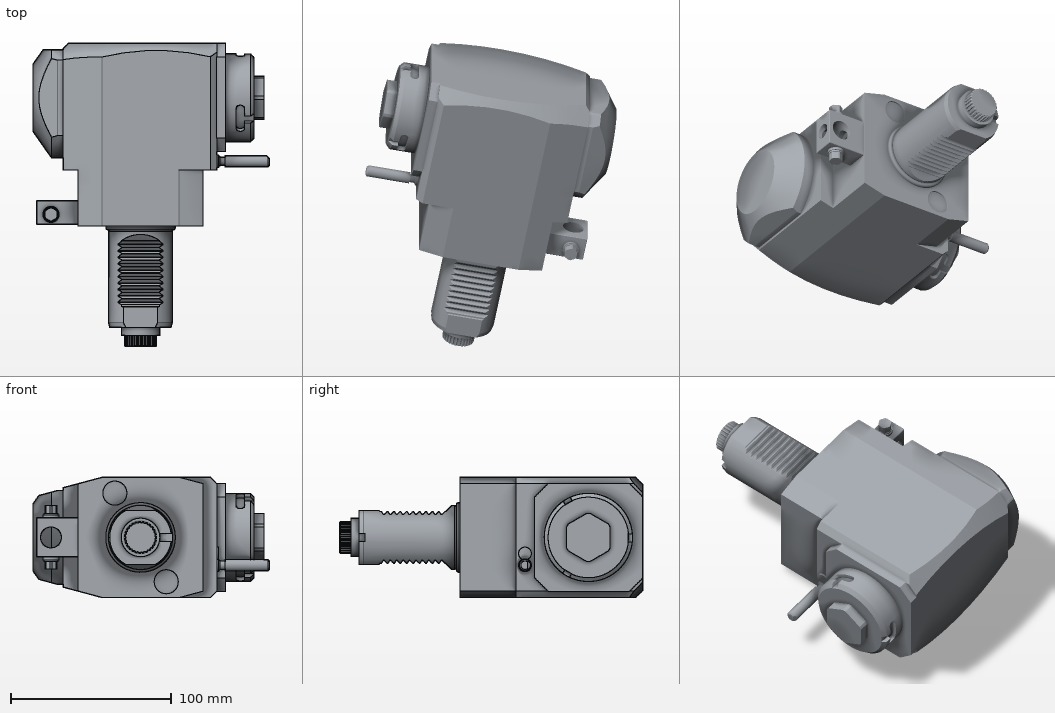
import math

import cadquery as cq


OVERLAP = 1.0
SPINDLE_Y = 80.0

BODY_HALF_HEIGHT = 37.5
BODY_LEFT = -48.3
BODY_RIGHT = 47.5
BODY_BACK = 114.0
BODY_STEP_Y = 35.0
BASE_HALF_WIDTH = 39.0
SLOPE_START = 24.0
SLOPE_ANGLE = 15.0
BODY_EDGE_CHAMFER = 4.0
BODY_CORNER_CHAMFER = 3.4
CROWN_X = 10.0
CROWN_RADIUS = 135.0
CROWN_BACK_HALF_HEIGHT = 33.0
PLUG_RADIUS = 7.5
PLUG_DEPTH = 1.0
PLUG_X = 16.0
PLUG_Z = 27.6

CAP_LEFT = -67.0
CAP_CONE_X = -55.4
CAP_SLOPE_X = -51.6
CAP_RADIUS = 37.5
CAP_FACE_RADIUS = 21.0
CAP_BACK = 110.0
CAP_HALF_HEIGHT = 29.3
CAP_CHAMFER = 6.6

PLATE_RIGHT = 53.0
PLATE_FRONT = 46.5
PLATE_CHAMFER = 8.6
NUT_RIGHT = 70.8
NUT_RADIUS = 27.5
NUT_CHAMFER = 2.4
NUT_SLOT_COUNT = 3
NUT_SLOT_FIRST_ANGLE = 29.5
NUT_SLOT_SPAN = 29.0
NUT_SLOT_X = 62.2
NUT_SLOT_WIDTH = 5.2
NUT_SLOT_DEPTH = 2.6
NUT_KEYWAY_WIDTH = 5.0
HEXAGON_RIGHT = 77.0
HEXAGON_FLATS = 27.0
HEXAGON_CORNER_RADIUS = 15.0

PIN_Y = 40.5
PIN_Z = -17.3
PIN_RIGHT = 80.33
PIN_LEFT = 52.7
PIN_RADIUS = 3.5
PIN_TIP_CHAMFER = 0.9
PIN_NECK_RADIUS = 2.6
PIN_NECK_LEFT = 49.5
PIN_FOOT_RADIUS = 4.0
PIN_FOOT_THICKNESS = 1.0
PIN_BEVEL = 1.9
DISC_Z = -10.0
DISC_RADIUS = 4.0
DISC_THICKNESS = 1.1

SHANK_RADIUS = 20.0
SHANK_LENGTH = 63.0
SHANK_END_CHAMFER_LENGTH = 3.0
SHANK_END_CHAMFER_DEPTH = 0.8
SHANK_ROOT_GROOVE_DEPTH = 0.5
SHANK_ROOT_GROOVE_TAPER = 1.0
RING_RADIUS = 21.7
RING_LENGTH = 2.3
RING_ROUND = 1.5
FLAT_HEIGHT = 16.9
TOOTH_COUNT = 10
TOOTH_PITCH = 4.0
TOOTH_ROOT_HEIGHT = 14.3
TOOTH_CREST_HEIGHT = 16.2
TOOTH_LAND = 0.4
FIRST_TOOTH_ROOT = 11.2
FLAT_START = 50.4
FLAT_STEP_RUN = 0.5
KEYWAY_WIDTH = 5.2
KEYWAY_DEPTH = 4.0
COLLAR_RADIUS = 12.0
COLLAR_END = 68.0
SPLINE_END = 75.0
SPLINE_RADIUS = 10.0
SPLINE_ROOT_RADIUS = 9.1
SPLINE_COUNT = 27
SPLINE_CHAMFER = 0.6
SPLINE_TIP_SHARE = 0.4
SPLINE_FOOT_SHARE = 0.7

BLOCK_LEFT = -64.7
BLOCK_FRONT = 1.0
BLOCK_BACK = 16.0
BLOCK_HALF_HEIGHT = 12.3
BLOCK_CHAMFER = 0.3
BORE_X = -55.8
BORE_RADIUS = 6.5
SIDE_HOLE_END = -47.5
SIDE_HOLE_RADIUS = 4.8
SIDE_DRILL_RADIUS = 1.4
SIDE_DRILL_DEPTH = 3.0
SCREW_Y = 7.4
WASHER_RADIUS = 5.0
WASHER_THICKNESS = 1.7
SCREW_SHOULDER_RADIUS = 4.4
SCREW_SHOULDER_THICKNESS = 0.9
SCREW_TOP = 19.8
SCREW_FLATS = 7.6
SCREW_CORNER_RADIUS = 4.1


def box(x0, x1, y0, y1, z0, z1):
    """Axis-aligned box between two opposite corners."""
    return cq.Workplane("XY").box(x1 - x0, y1 - y0, z1 - z0, centered=False).translate((x0, y0, z0))


def along_x(x0, x1, y, z):
    """Workplane at x0 centred on (y, z), and the length to extrude up to x1."""
    return cq.Workplane("YZ", origin=(x0, y, z)), x1 - x0


def cylinder_x(x0, x1, y, z, radius):
    plane, length = along_x(x0, x1, y, z)
    return plane.circle(radius).extrude(length)


def cylinder_y(y0, y1, x, z, radius):
    return cq.Workplane("XZ", origin=(x, y0, z)).circle(radius).extrude(y0 - y1)


def cylinder_z(z0, z1, x, y, radius):
    return cq.Workplane("XY", origin=(x, y, z0)).circle(radius).extrude(z1 - z0)


def revolve_about_x(profile, y, z):
    """Revolve (x, radius) points about the line parallel to X through (y, z)."""
    outline = cq.Workplane("XY").polyline(profile).close()
    return outline.revolve(360, (0, 0, 0), (1, 0, 0)).translate((0, y, z))


def revolve_about_y(profile):
    """Revolve (radius, y) points about the Y axis."""
    return cq.Workplane("XY").polyline(profile).close().revolve(360, (0, 0, 0), (0, 1, 0))


def extrude_y(points, y0, y1):
    """Prism between y0 and y1 from (x, z) points."""
    return cq.Workplane("XZ", origin=(0, y0, 0)).polyline(points).close().extrude(y0 - y1)


def with_mirror(points):
    """Close an upper outline with its mirror image below Z = 0."""
    return points + [(x, -z) for x, z in reversed(points)]


def both_sides(shape):
    """The shape together with its mirror image below Z = 0."""
    return shape.union(shape.mirror("XY"))


def slope_height(x):
    """Half height of the body's sloping sides at a distance x from the shank axis."""
    return BODY_HALF_HEIGHT - (abs(x) - SLOPE_START) * math.tan(math.radians(SLOPE_ANGLE))


def crown():
    """45 degree cone whose flank bevels the upper back edge of the body in a long arc."""
    axis_z = CROWN_BACK_HALF_HEIGHT - CROWN_RADIUS
    front_radius = CROWN_RADIUS + BODY_BACK
    cone = revolve_about_y([(0, 0), (front_radius, 0), (CROWN_RADIUS, BODY_BACK), (0, BODY_BACK)])
    return cone.translate((CROWN_X, 0, axis_z))


def body():
    head_outline = with_mirror([
        (BODY_LEFT, slope_height(BODY_LEFT)),
        (-SLOPE_START, BODY_HALF_HEIGHT),
        (BODY_RIGHT - BODY_EDGE_CHAMFER, BODY_HALF_HEIGHT),
        (BODY_RIGHT, BODY_HALF_HEIGHT - BODY_EDGE_CHAMFER),
    ])
    head = extrude_y(head_outline, BODY_STEP_Y, BODY_BACK)
    head = head.edges("<X and >Y").chamfer(BODY_CORNER_CHAMFER)
    head = head.intersect(crown()).intersect(crown().mirror("XY"))

    base_edge = slope_height(BASE_HALF_WIDTH)
    base_outline = with_mirror([
        (-BASE_HALF_WIDTH, base_edge),
        (-SLOPE_START, BODY_HALF_HEIGHT),
        (SLOPE_START, BODY_HALF_HEIGHT),
        (BASE_HALF_WIDTH, base_edge),
    ])
    solid = head.union(extrude_y(base_outline, 0, BODY_STEP_Y))
    for side in (-1, 1):
        solid = solid.cut(cylinder_y(0, PLUG_DEPTH, side * PLUG_X, -side * PLUG_Z, PLUG_RADIUS))
    return solid


def end_cap():
    inner_x = BODY_LEFT + OVERLAP
    cap = revolve_about_x([
        (CAP_LEFT, 0),
        (CAP_LEFT, CAP_FACE_RADIUS),
        (CAP_CONE_X, CAP_RADIUS),
        (inner_x, CAP_RADIUS),
        (inner_x, 0),
    ], SPINDLE_Y, 0)
    left_drop = (CAP_SLOPE_X - CAP_LEFT) * math.tan(math.radians(SLOPE_ANGLE))
    side_outline = with_mirror([
        (CAP_LEFT, CAP_HALF_HEIGHT - left_drop),
        (CAP_SLOPE_X, CAP_HALF_HEIGHT),
        (inner_x, CAP_HALF_HEIGHT),
    ])
    cap = cap.intersect(extrude_y(side_outline, SPINDLE_Y - CAP_RADIUS, CAP_BACK))
    bevel_outline = with_mirror([
        (SPINDLE_Y - CAP_RADIUS, CAP_HALF_HEIGHT),
        (CAP_BACK - CAP_CHAMFER, CAP_HALF_HEIGHT),
        (CAP_BACK, CAP_HALF_HEIGHT - CAP_CHAMFER),
    ])
    plane, length = along_x(CAP_LEFT, inner_x, 0, 0)
    return cap.intersect(plane.polyline(bevel_outline).close().extrude(length))


def plate():
    size = BODY_BACK - PLATE_FRONT
    solid = box(BODY_RIGHT - OVERLAP, PLATE_RIGHT, PLATE_FRONT, BODY_BACK, -size / 2, size / 2)
    return solid.edges("|X").chamfer(PLATE_CHAMFER)


def nut_slot():
    """Round-ended slot around the nut with a keyway to its face, centred on +Z."""
    floor = NUT_RADIUS - NUT_SLOT_DEPTH
    half_span = NUT_SLOT_SPAN / 2
    half_width = NUT_SLOT_WIDTH / 2
    outside = NUT_RADIUS + OVERLAP
    reach = 2 * outside
    edge_y = reach * math.tan(math.radians(half_span))
    left = NUT_SLOT_X - half_width
    right = NUT_SLOT_X + half_width
    sector, width = along_x(left, right, 0, 0)
    slot = sector.polyline([(0, 0), (-edge_y, reach), (edge_y, reach)]).close().extrude(width)
    for angle in (-half_span, half_span):
        end = cylinder_z(0, reach, NUT_SLOT_X, 0, half_width)
        slot = slot.union(end.rotate((0, 0, 0), (1, 0, 0), angle))
    half_key = NUT_KEYWAY_WIDTH / 2
    slot = slot.union(box(NUT_SLOT_X, NUT_RIGHT, -half_key, half_key, 0, reach))
    ring = cylinder_x(left, NUT_RIGHT, 0, 0, outside).cut(cylinder_x(left, NUT_RIGHT, 0, 0, floor))
    return slot.intersect(ring)


def nut():
    solid = cylinder_x(PLATE_RIGHT - OVERLAP, NUT_RIGHT, 0, 0, NUT_RADIUS)
    solid = solid.faces(">X").chamfer(NUT_CHAMFER)
    for index in range(NUT_SLOT_COUNT):
        angle = NUT_SLOT_FIRST_ANGLE + index * 360 / NUT_SLOT_COUNT
        solid = solid.cut(nut_slot().rotate((0, 0, 0), (1, 0, 0), angle))
    return solid.translate((0, SPINDLE_Y, 0))


def spindle_hexagon():
    left = NUT_RIGHT - OVERLAP
    plane, length = along_x(left, HEXAGON_RIGHT, SPINDLE_Y, 0)
    across_corners = HEXAGON_FLATS / math.cos(math.radians(30))
    prism = plane.transformed(rotate=(0, 0, 90)).polygon(6, across_corners).extrude(length)
    return prism.intersect(cylinder_x(left, HEXAGON_RIGHT, SPINDLE_Y, 0, HEXAGON_CORNER_RADIUS))


def locating_pin():
    foot_left = BODY_RIGHT - OVERLAP
    foot_right = BODY_RIGHT + PIN_FOOT_THICKNESS
    pin = revolve_about_x([
        (foot_left, 0),
        (foot_left, PIN_FOOT_RADIUS),
        (foot_right, PIN_FOOT_RADIUS),
        (PIN_NECK_LEFT, PIN_NECK_RADIUS),
        (PIN_LEFT, PIN_NECK_RADIUS),
        (PIN_LEFT, PIN_RADIUS),
        (PIN_RIGHT - PIN_TIP_CHAMFER, PIN_RADIUS),
        (PIN_RIGHT, PIN_RADIUS - PIN_TIP_CHAMFER),
        (PIN_RIGHT, 0),
    ], PIN_Y, PIN_Z)
    corner_y = PIN_Y + PIN_RADIUS
    bevel = cq.Workplane("XY", origin=(0, 0, PIN_Z)).polyline([
        (PIN_RIGHT - PIN_BEVEL, corner_y),
        (PIN_RIGHT, corner_y),
        (PIN_RIGHT, corner_y - PIN_BEVEL),
    ]).close().extrude(PIN_RADIUS, both=True)
    return pin.cut(bevel)


def disc():
    return cylinder_x(BODY_RIGHT - OVERLAP, BODY_RIGHT + DISC_THICKNESS, PIN_Y, DISC_Z, DISC_RADIUS)


def shank_relief():
    """Material removed above the shank: a ramp, a row of saw teeth and a plain flat."""
    clear = SHANK_RADIUS + OVERLAP
    ramp_run = TOOTH_CREST_HEIGHT - TOOTH_ROOT_HEIGHT
    return_run = TOOTH_PITCH - ramp_run - 2 * TOOTH_LAND
    first_crest = FIRST_TOOTH_ROOT - ramp_run - TOOTH_LAND
    points = [(-first_crest + clear - TOOTH_CREST_HEIGHT, clear), (-first_crest, TOOTH_CREST_HEIGHT)]
    for index in range(TOOTH_COUNT):
        root_start = FIRST_TOOTH_ROOT + index * TOOTH_PITCH
        root_end = root_start + TOOTH_LAND
        points += [
            (ramp_run - root_start, TOOTH_CREST_HEIGHT),
            (-root_start, TOOTH_ROOT_HEIGHT),
            (-root_end, TOOTH_ROOT_HEIGHT),
            (-root_end - return_run, TOOTH_CREST_HEIGHT),
        ]
    points += [
        (-FLAT_START + FLAT_STEP_RUN, TOOTH_CREST_HEIGHT),
        (-FLAT_START, FLAT_HEIGHT),
        (-SHANK_LENGTH, FLAT_HEIGHT),
        (-SHANK_LENGTH, clear),
    ]
    outline = cq.Workplane("YZ").polyline(points).close()
    return outline.extrude(SHANK_RADIUS, both=True)


def shank():
    groove_end = RING_LENGTH + SHANK_ROOT_GROOVE_TAPER
    groove_radius = SHANK_RADIUS - SHANK_ROOT_GROOVE_DEPTH
    solid = revolve_about_y([
        (0, OVERLAP),
        (groove_radius, OVERLAP),
        (groove_radius, -RING_LENGTH),
        (SHANK_RADIUS, -groove_end),
        (SHANK_RADIUS, -SHANK_LENGTH + SHANK_END_CHAMFER_LENGTH),
        (SHANK_RADIUS - SHANK_END_CHAMFER_DEPTH, -SHANK_LENGTH),
        (0, -SHANK_LENGTH),
    ])
    solid = solid.cut(both_sides(shank_relief()))
    half_key = KEYWAY_WIDTH / 2
    key_top = -SHANK_LENGTH + KEYWAY_DEPTH
    solid = solid.cut(box(COLLAR_RADIUS, SHANK_RADIUS, -SHANK_LENGTH, key_top, -half_key, half_key))
    ring = cylinder_y(OVERLAP, -RING_LENGTH, 0, 0, RING_RADIUS).faces("<Y").edges().fillet(RING_ROUND)
    return solid.union(ring)


def drive_spline():
    collar = cylinder_y(-SHANK_LENGTH + OVERLAP, -COLLAR_END, 0, 0, COLLAR_RADIUS)
    shaft = cylinder_y(-COLLAR_END + OVERLAP, -SPLINE_END, 0, 0, SPLINE_RADIUS)
    shaft = shaft.faces("<Y").chamfer(SPLINE_CHAMFER)
    step = 2 * math.pi / SPLINE_COUNT
    half_tip = SPLINE_TIP_SHARE * step / 2
    half_foot = SPLINE_FOOT_SHARE * step / 2
    points = []
    for index in range(SPLINE_COUNT):
        for radius, offset in (
            (SPLINE_ROOT_RADIUS, -half_foot),
            (SPLINE_RADIUS, -half_tip),
            (SPLINE_RADIUS, half_tip),
            (SPLINE_ROOT_RADIUS, half_foot),
        ):
            angle = index * step + offset
            points.append((radius * math.cos(angle), radius * math.sin(angle)))
    toothed = extrude_y(points, -COLLAR_END + OVERLAP, -SPLINE_END)
    return collar.union(shaft.intersect(toothed))


def block_screw():
    """Washer, shoulder and hexagon head of the screw in the top of the coolant block."""
    washer_top = BLOCK_HALF_HEIGHT + WASHER_THICKNESS
    shoulder_top = washer_top + SCREW_SHOULDER_THICKNESS
    across_corners = SCREW_FLATS / math.cos(math.radians(30))
    head = cq.Workplane("XY", origin=(BORE_X, SCREW_Y, shoulder_top))
    head = head.transformed(rotate=(0, 0, 90)).polygon(6, across_corners).extrude(SCREW_TOP - shoulder_top)
    head = head.intersect(cylinder_z(shoulder_top, SCREW_TOP, BORE_X, SCREW_Y, SCREW_CORNER_RADIUS))
    screw = cylinder_z(BLOCK_HALF_HEIGHT, washer_top, BORE_X, SCREW_Y, WASHER_RADIUS)
    screw = screw.union(cylinder_z(washer_top, shoulder_top, BORE_X, SCREW_Y, SCREW_SHOULDER_RADIUS))
    return screw.union(head)


def coolant_block():
    right = -BASE_HALF_WIDTH + OVERLAP
    solid = box(BLOCK_LEFT, right, BLOCK_FRONT, BLOCK_BACK, -BLOCK_HALF_HEIGHT, BLOCK_HALF_HEIGHT)
    solid = solid.edges().chamfer(BLOCK_CHAMFER)
    solid = solid.cut(cylinder_y(BLOCK_FRONT, BLOCK_BACK, BORE_X, 0, BORE_RADIUS))
    middle_y = (BLOCK_FRONT + BLOCK_BACK) / 2
    solid = solid.cut(cylinder_x(BLOCK_LEFT, SIDE_HOLE_END, middle_y, 0, SIDE_HOLE_RADIUS))
    drill_end = SIDE_HOLE_END + SIDE_DRILL_DEPTH
    solid = solid.cut(cylinder_x(SIDE_HOLE_END, drill_end, middle_y, 0, SIDE_DRILL_RADIUS))
    return solid.union(both_sides(block_screw()))


result = body()
for component in (
    end_cap(),
    plate(),
    nut(),
    spindle_hexagon(),
    disc(),
    locating_pin(),
    shank(),
    drive_spline(),
    coolant_block(),
):
    result = result.union(component)